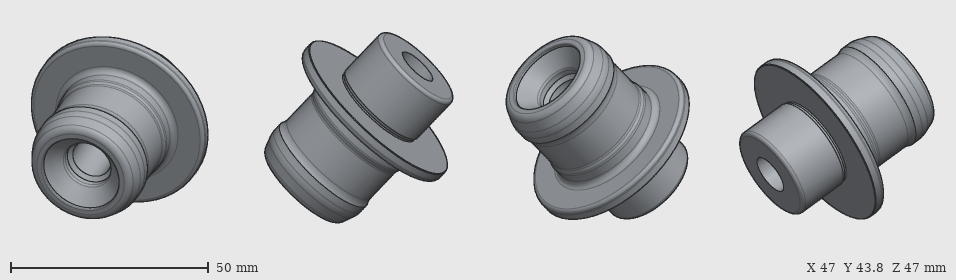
import cadquery as cq
import math

TOTAL_LENGTH = 43.8

HEAD_RADIUS = 30.0 / 2
HEAD_TAPER = math.radians(20)
NOSE_FILLET = 2.0
SHOULDER_RADIUS = 6.0
HEAD_START = 6.0
HEAD_END = 8.15

GROOVE_RADIUS = 28.89 / 2
GROOVE_START = 10.3
COLLAR_START = 21.65
RAMP_ANGLE = math.radians(22.5)
RAMP_FILLET = 1.5

FLANGE_RADIUS = 47.0 / 2
FLANGE_FRONT = 25.7
FLANGE_BACK = 29.0
FLANGE_ROOT_FILLET = 1.55
FLANGE_RIM_FILLET = 0.95
RIM_BEVEL_WIDTH = 0.3
RIM_BEVEL_DEPTH = 0.05
RIM_CHAMFER = 0.2

SPIGOT_RADIUS = 25.0 / 2
SPIGOT_FILLET = 1.0
RELIEF_DEPTH = 0.28
RELIEF_STRAIGHT = 0.5
RELIEF_TAPER = 0.75

MOUTH_RADIUS = 20.6 / 2
MOUTH_FILLET = 0.25
MOUTH_DEPTH = 0.95
COUNTERBORE_RADIUS = 12.4 / 2
COUNTERBORE_FILLET = 1.0
COUNTERBORE_END = 6.9
BORE_RADIUS = 10.3 / 2


def arc_point(center, radius, angle):
    """Point on a circle, with the angle measured from the radial direction."""
    return (
        center[0] + radius * math.cos(angle),
        center[1] + radius * math.sin(angle),
    )


def arc_to(profile, center, radius, start, end):
    """Extend the profile with a circular arc that begins at its current end."""
    middle = arc_point(center, radius, (start + end) / 2)
    return profile.threePointArc(middle, arc_point(center, radius, end))


def add_head(profile):
    """Nose fillet, taper, shoulder arc and head cylinder."""
    shoulder_center = (HEAD_RADIUS - SHOULDER_RADIUS, HEAD_START)
    taper_end = arc_point(shoulder_center, SHOULDER_RADIUS, -HEAD_TAPER)
    taper_start_station = NOSE_FILLET * (1 - math.sin(HEAD_TAPER))
    taper_length = taper_end[1] - taper_start_station
    taper_start_radius = taper_end[0] - taper_length * math.tan(HEAD_TAPER)
    nose_center = (taper_start_radius - NOSE_FILLET * math.cos(HEAD_TAPER), NOSE_FILLET)

    profile = profile.lineTo(nose_center[0], 0)
    profile = arc_to(profile, nose_center, NOSE_FILLET, -math.pi / 2, -HEAD_TAPER)
    profile = profile.lineTo(*taper_end)
    profile = arc_to(profile, shoulder_center, SHOULDER_RADIUS, -HEAD_TAPER, 0)
    return profile.lineTo(HEAD_RADIUS, HEAD_END)


def add_groove(profile):
    """Concave run-out behind the head, groove floor and filleted ramp."""
    groove_depth = HEAD_RADIUS - GROOVE_RADIUS
    runout_length = GROOVE_START - HEAD_END
    runout_radius = (runout_length**2 + groove_depth**2) / (2 * groove_depth)
    runout_center = (GROOVE_RADIUS + runout_radius, GROOVE_START)
    runout_angle = math.asin(runout_length / runout_radius)

    fillet_drop = RAMP_FILLET * (1 - math.cos(RAMP_ANGLE))
    fillet_length = RAMP_FILLET * math.sin(RAMP_ANGLE)
    ramp_length = (groove_depth - 2 * fillet_drop) / math.tan(RAMP_ANGLE)
    ramp_start = COLLAR_START - 2 * fillet_length - ramp_length
    foot_center = (GROOVE_RADIUS + RAMP_FILLET, ramp_start)
    crest_center = (HEAD_RADIUS - RAMP_FILLET, COLLAR_START)

    profile = arc_to(profile, runout_center, runout_radius, math.pi + runout_angle, math.pi)
    profile = profile.lineTo(GROOVE_RADIUS, ramp_start)
    profile = arc_to(profile, foot_center, RAMP_FILLET, math.pi, math.pi - RAMP_ANGLE)
    profile = profile.lineTo(*arc_point(crest_center, RAMP_FILLET, -RAMP_ANGLE))
    return arc_to(profile, crest_center, RAMP_FILLET, -RAMP_ANGLE, 0)


def add_flange(profile):
    """Collar, root fillet, flange face and rim."""
    root_station = FLANGE_FRONT - FLANGE_ROOT_FILLET
    root_center = (HEAD_RADIUS + FLANGE_ROOT_FILLET, root_station)
    rim_station = FLANGE_FRONT + FLANGE_RIM_FILLET
    rim_center = (FLANGE_RADIUS - RIM_BEVEL_DEPTH - FLANGE_RIM_FILLET, rim_station)

    profile = profile.lineTo(HEAD_RADIUS, root_station)
    profile = arc_to(profile, root_center, FLANGE_ROOT_FILLET, math.pi, math.pi / 2)
    profile = profile.lineTo(rim_center[0], FLANGE_FRONT)
    profile = arc_to(profile, rim_center, FLANGE_RIM_FILLET, -math.pi / 2, 0)
    profile = profile.lineTo(FLANGE_RADIUS, rim_station + RIM_BEVEL_WIDTH)
    profile = profile.lineTo(FLANGE_RADIUS, FLANGE_BACK - RIM_CHAMFER)
    return profile.lineTo(FLANGE_RADIUS - RIM_CHAMFER, FLANGE_BACK)


def add_spigot(profile):
    """Relief beside the flange, spigot cylinder and rounded rear edge."""
    relief_radius = SPIGOT_RADIUS - RELIEF_DEPTH
    relief_end = FLANGE_BACK + RELIEF_STRAIGHT
    edge_center = (SPIGOT_RADIUS - SPIGOT_FILLET, TOTAL_LENGTH - SPIGOT_FILLET)

    profile = profile.lineTo(relief_radius, FLANGE_BACK)
    profile = profile.lineTo(relief_radius, relief_end)
    profile = profile.lineTo(SPIGOT_RADIUS, relief_end + RELIEF_TAPER)
    profile = profile.lineTo(SPIGOT_RADIUS, edge_center[1])
    return arc_to(profile, edge_center, SPIGOT_FILLET, 0, math.pi / 2)


def make_body():
    profile = cq.Workplane("XY").moveTo(0, 0)
    for add_section in (add_head, add_groove, add_flange, add_spigot):
        profile = add_section(profile)
    profile = profile.lineTo(0, TOTAL_LENGTH).close()
    return profile.revolve(360, (0, 0, 0), (0, 1, 0))


def make_bore():
    """Rounded mouth, 45 degree funnel, counterbore, 45 degree step and through bore."""
    funnel_angle = math.radians(45)
    funnel_end = MOUTH_DEPTH + MOUTH_RADIUS - COUNTERBORE_RADIUS
    fillet_end = funnel_end + COUNTERBORE_FILLET * math.tan(funnel_angle / 2)
    fillet_center = (COUNTERBORE_RADIUS + COUNTERBORE_FILLET, fillet_end)
    fillet_start_angle = math.pi + funnel_angle
    mouth_center = (MOUTH_RADIUS + MOUTH_FILLET, MOUTH_FILLET)
    step_end = COUNTERBORE_END + COUNTERBORE_RADIUS - BORE_RADIUS

    profile = cq.Workplane("XY").moveTo(0, 0).lineTo(mouth_center[0], 0)
    profile = arc_to(profile, mouth_center, MOUTH_FILLET, 1.5 * math.pi, math.pi)
    profile = profile.lineTo(MOUTH_RADIUS, MOUTH_DEPTH)
    profile = profile.lineTo(*arc_point(fillet_center, COUNTERBORE_FILLET, fillet_start_angle))
    profile = arc_to(profile, fillet_center, COUNTERBORE_FILLET, fillet_start_angle, math.pi)
    profile = profile.lineTo(COUNTERBORE_RADIUS, COUNTERBORE_END)
    profile = profile.lineTo(BORE_RADIUS, step_end)
    profile = profile.lineTo(BORE_RADIUS, TOTAL_LENGTH)
    profile = profile.lineTo(0, TOTAL_LENGTH).close()
    return profile.revolve(360, (0, 0, 0), (0, 1, 0))


result = make_body().cut(make_bore()).translate((0, -TOTAL_LENGTH / 2, 0))